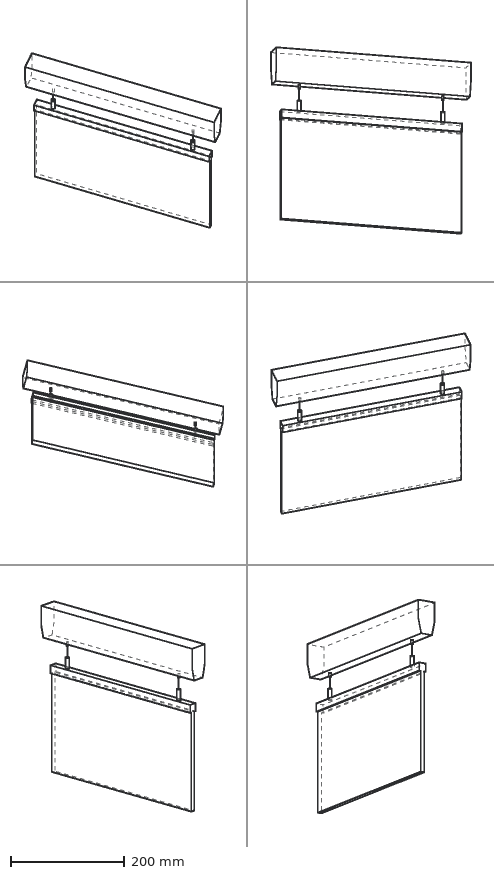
import cadquery as cq

housing_length = 357.8
housing_depth = 34.5
housing_height = 61.0
housing_straight_height = 35.0
housing_bottom_depth = 23.0

overall_height = 310.0
sign_length = 331.5
rail_depth = 14.3
rail_height = 15.0
rail_top_drop = 110.2
panel_depth = 8.0

suspension_spacing = 264.0
ferrule_diameter = 4.0
ferrule_length = 7.0
wire_diameter = 1.0
grip_diameter = 7.0
grip_length = 20.0

housing_bottom = -housing_height
housing_bend = -housing_straight_height
rail_top = -rail_top_drop
rail_bottom = rail_top - rail_height
panel_height = overall_height - rail_top_drop - rail_height


def make_housing():
    """Six-sided profile in YZ, extruded along X."""
    half_depth = housing_depth / 2
    half_bottom = housing_bottom_depth / 2
    return (
        cq.Workplane("YZ")
        .polyline([
            (-half_depth, 0),
            (half_depth, 0),
            (half_depth, housing_bend),
            (half_bottom, housing_bottom),
            (-half_bottom, housing_bottom),
            (-half_depth, housing_bend),
        ])
        .close()
        .extrude(housing_length / 2, both=True)
    )


def make_sign_bar(depth, height, top):
    """Centred bar of the sign's length, hanging down from the given height."""
    return (
        cq.Workplane("XY")
        .workplane(offset=top)
        .rect(sign_length, depth)
        .extrude(-height)
    )


def make_rod(x, diameter, bottom, top):
    """Vertical round rod between two heights."""
    return (
        cq.Workplane("XY")
        .workplane(offset=bottom)
        .center(x, 0)
        .circle(diameter / 2)
        .extrude(top - bottom)
    )


def make_suspension(x):
    """Wire from housing to rail, with its ferrule and grip."""
    ferrule = make_rod(x, ferrule_diameter, housing_bottom - ferrule_length, housing_bottom)
    wire = make_rod(x, wire_diameter, rail_top, housing_bottom)
    grip = make_rod(x, grip_diameter, rail_top, rail_top + grip_length)
    return ferrule.union(wire).union(grip)


rail = make_sign_bar(rail_depth, rail_height, rail_top)
panel = make_sign_bar(panel_depth, panel_height, rail_bottom)

result = make_housing().union(rail).union(panel)
for side in (-1, 1):
    result = result.union(make_suspension(side * suspension_spacing / 2))